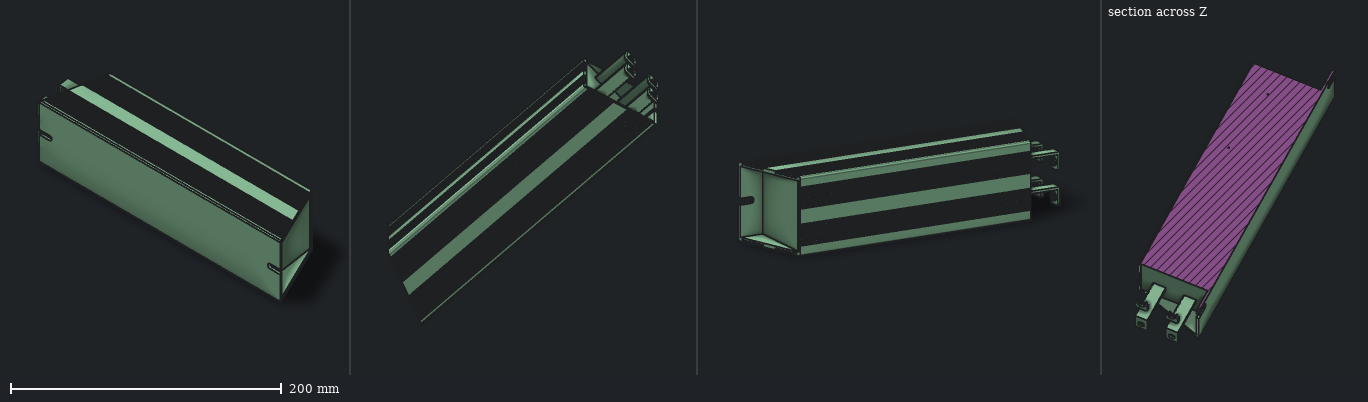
import cadquery as cq

total_length = 247.0
depth = 59.0
terminal_reach = 12.0
end_setback = 19.8

cavity_height = 54.5
side_wall = 2.5
cover_web = 1.68
back_round = 1.5
front_bevel_depth = 1.5
front_bevel_height = 0.7

groove_width = 1.5
groove_depth = 1.5
groove_pitch = 2 * groove_width
centre_land = 12.0
cover_grooves = 7
back_grooves = 6
cover_groove_shift = -0.2

slot_width = 5.0
slot_length = 12.0

strip_width = 10.1
strip_thickness = 2.2
leg_height = 14.5
leg_round = 1.7
hole_diameter = 5.0
hole_drop = 8.5
nut_diameter = 6.5
nut_thickness = 1.5
terminal_spacing_y = 25.0
terminal_spacing_z = 27.0
terminal_middle_y = -0.5
upper_terminal_top = 14.8

cover_wall = cover_web + groove_depth
height = cavity_height + 2 * cover_wall
body_length = total_length - terminal_reach
long_end = body_length / 2
short_end = long_end - end_setback
half_depth = depth / 2
half_height = height / 2
tip_x = -long_end - terminal_reach


def block(x_range, y_range, z_range):
    """Box spanning the given (low, high) pairs."""
    (x0, x1), (y0, y1), (z0, z1) = x_range, y_range, z_range
    return cq.Workplane("XY").box(x1 - x0, y1 - y0, z1 - z0, centered=False).translate((x0, y0, z0))


def groove_centres(count, middle=0):
    """Centres of two mirrored groups of grooves beside the plain strip."""
    first = (centre_land + groove_width) / 2
    offsets = [first + i * groove_pitch for i in range(count)]
    return [middle + side * offset for side in (-1, 1) for offset in offsets]


def housing_bar():
    """Solid housing bar along X with its long edges shaped, ends square."""
    bevel_y = -half_depth + front_bevel_depth
    bevel_z = half_height - front_bevel_height
    return (
        cq.Workplane("YZ", origin=(-long_end, 0, 0))
        .moveTo(bevel_y, -half_height)
        .lineTo(half_depth, -half_height)
        .lineTo(half_depth, half_height)
        .lineTo(bevel_y, half_height)
        .lineTo(-half_depth, bevel_z)
        .lineTo(-half_depth, -bevel_z)
        .close()
        .extrude(body_length)
        .edges("|X and >Y")
        .fillet(back_round)
    )


def cut_grooves(body):
    """Grooves along X in the top, the bottom and the +Y side."""
    along = (-long_end, long_end)
    half_groove = groove_width / 2
    for y in groove_centres(cover_grooves, cover_groove_shift):
        across = (y - half_groove, y + half_groove)
        body = body.cut(block(along, across, (half_height - groove_depth, half_height)))
        body = body.cut(block(along, across, (-half_height, -half_height + groove_depth)))
    for z in groove_centres(back_grooves):
        across = (z - half_groove, z + half_groove)
        body = body.cut(block(along, (half_depth - groove_depth, half_depth), across))
    return body


def cut_end_recesses(body):
    """Hollow each end as far in as the short +Y side, leaving the walls."""
    inside_y = (-half_depth + side_wall, half_depth - side_wall)
    inside_z = (-cavity_height / 2, cavity_height / 2)
    for x_range in ((-long_end, -short_end), (short_end, long_end)):
        body = body.cut(block(x_range, inside_y, inside_z))
    return body


def slant_ends(body):
    """Keep only the trapezoid, longest at the -Y side."""
    trapezoid = (
        cq.Workplane("XY", origin=(0, 0, -half_height))
        .polyline([
            (-long_end, -half_depth),
            (long_end, -half_depth),
            (short_end, half_depth),
            (-short_end, half_depth),
        ])
        .close()
        .extrude(height)
    )
    return body.intersect(trapezoid)


def cut_slots(body):
    """Round-ended slots open to both ends of the -Y wall."""
    for end in (-1, 1):
        slot = (
            cq.Workplane("XZ", origin=(end * long_end, -half_depth + side_wall, 0))
            .slot2D(2 * slot_length, slot_width)
            .extrude(side_wall)
        )
        body = body.cut(slot)
    return body


def terminal(y, top):
    """Strip from the recessed end face, bent down at its tip, with a nut behind the leg."""
    strip_y = (y - strip_width / 2, y + strip_width / 2)
    strip = block((tip_x, -short_end), strip_y, (top - strip_thickness, top))
    leg = block((tip_x, tip_x + strip_thickness), strip_y, (top - leg_height, top))
    leg = leg.edges("|X and <Z").fillet(leg_round)
    hole_plane = cq.Workplane("YZ", origin=(tip_x, y, top - hole_drop))
    reach = strip_thickness + nut_thickness
    nut = hole_plane.workplane(offset=strip_thickness).circle(nut_diameter / 2).extrude(nut_thickness)
    hole = hole_plane.circle(hole_diameter / 2).extrude(reach)
    return strip.union(leg).union(nut).cut(hole)


result = cut_slots(slant_ends(cut_end_recesses(cut_grooves(housing_bar()))))

for y_side in (-1, 1):
    for level in (0, 1):
        terminal_y = terminal_middle_y + y_side * terminal_spacing_y / 2
        terminal_top = upper_terminal_top - level * terminal_spacing_z
        result = result.union(terminal(terminal_y, terminal_top))